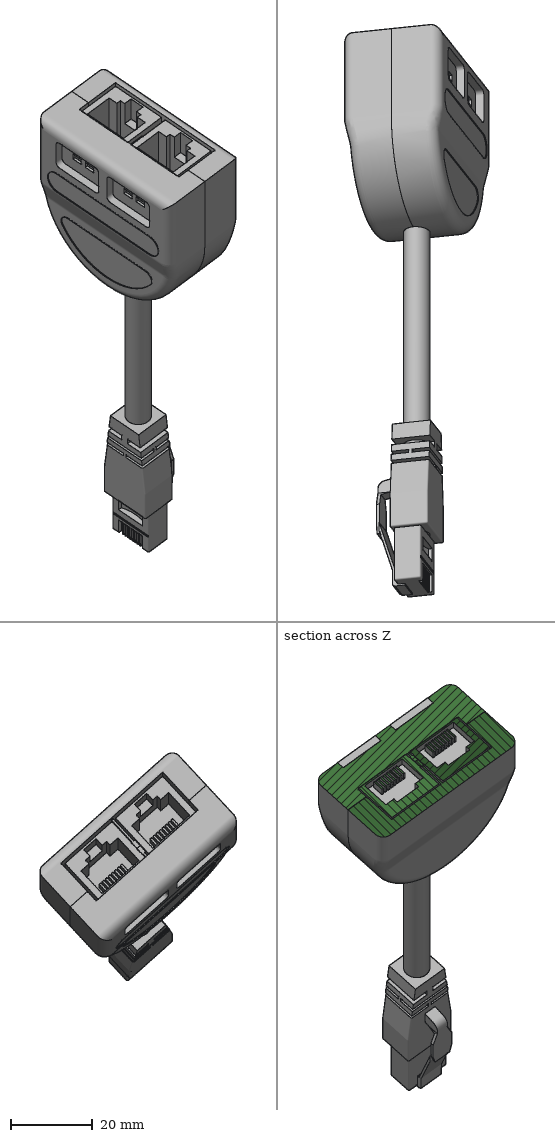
import cadquery as cq
import math

TOTAL_HEIGHT = 138.5

HOUSING_WIDTH = 45.0
HOUSING_DEPTH = 25.0
HOUSING_HEIGHT = 45.0
STEP_INSET = 1.2
FRONT_STEP_TOP = 117.0
FRONT_STEP_BOTTOM = 111.9
BACK_STEP_TOP = 116.2
BACK_STEP_BOTTOM = 110.4
STEP_BLEND = 3.2
HOUSING_FILLET = 2.6

JACK_WIDTH = 15.5
JACK_GAP = 1.2
JACK_LENGTH = 20.1
JACK_FRONT = -3.2
JACK_BACK = 8.9
JACK_RECESS = 0.3
WINDOW_CLEARANCE = 0.7
WINDOW_BACK_CLEARANCE = 0.7
DIVIDER_WIDTH = 0.5
DIVIDER_BLOCK_LENGTH = 3.9
DIVIDER_DROP = 1.4

JACK_HOLE_DEPTH = 13.8
JACK_FLOOR_WALL = 0.4
BODY_SLOT_WIDTH = 12.2
BODY_SLOT_TOP = 4.8
SHOULDER_WIDTH = 6.9
SHOULDER_TOP = 6.1
KEY_WIDTH = 4.0
KEY_TOP = 8.3
KEY_DEPTH = 6.9

CONTACT_COUNT = 8
JACK_CONTACT_PITCH = 1.0
JACK_CONTACT_WIDTH = 0.5
JACK_CONTACT_LENGTH = 3.0
JACK_CONTACT_HEIGHT = 4.2
JACK_CONTACT_GAP = 0.5

PANEL_WIDTH = 14.4
PANEL_HEIGHT = 8.6
PANEL_SPACING = 17.2
PANEL_CENTRE_Z = 130.7
PANEL_DEPTH = 2.1
PANEL_CORNER = 1.2
LAMP_WIDTH = 2.8
LAMP_HEIGHT = 1.7
LAMP_SPACING = 4.2
LAMP_DEPTH = 0.7
LABEL_WIDTH = 37.4
LABEL_HEIGHT = 6.2
LABEL_CENTRE_Z = 120.6
LABEL_DEPTH = 0.3
BADGE_RADIUS = 18.1
BADGE_TOP = 109.1
BADGE_CORNER = 2.2

CABLE_DIAMETER = 6.5
CABLE_ENTRY = 6.9

BOOT_TOP = 42.0
BOOT_SHOULDER = 22.7
BOOT_BOTTOM = 14.1
BOOT_TOP_WIDTH = 9.5
BOOT_WIDTH = 14.1
BOOT_DEPTH = 9.7
BOOT_BODY_TOP = 31.2
BOOT_FILLET = 0.4
WIDE_WEB = 2.0
NARROW_WEB = 0.8
GROOVES = [
    (36.3, 37.8, WIDE_WEB, True),
    (33.6, 34.5, NARROW_WEB, False),
    (BOOT_BODY_TOP, 32.0, NARROW_WEB, True),
]

HOOD_ARM_WIDTH = 3.3
HOOD_WIDTH = 6.1
HOOD_TIP_WIDTH = 4.7
HOOD_FLARE_TOP = 25.5
HOOD_FLARE_BOTTOM = 22.0
HOOD_TIP_TOP = 17.0
HOOD_OUTER = 9.4
HOOD_INNER = 8.6
HOOD_BOTTOM = 14.5
HOOD_ARM_TOP = 29.2
HOOD_ARM_UNDERSIDE = 25.9
HOOD_ARM_DROP = 1.0
HOOD_BEND = 2.1

PLUG_WIDTH = 12.3
PLUG_FRONT = -2.8
PLUG_BACK = 4.0
PLUG_BOTTOM = 0.4
PLUG_FILLET = 0.4
POCKET_WIDTH = 8.0
POCKET_BOTTOM = 8.5
POCKET_TOP = 11.8
POCKET_DEPTH = 1.0
POCKET_HOLLOW = 0.7
RECESS_WIDTH = 8.0
RECESS_TOP = 4.8
RECESS_DEPTH = 1.1
SCORE_Z = 5.8
SCORE_HEIGHT = 0.4
SCORE_DEPTH = 0.1
BLADE_PITCH = 0.8
BLADE_WIDTH = 0.4
BLADE_HEIGHT = 0.7

LEVER_WIDTH = 6.6
LEVER_THICKNESS = 0.7
LEVER_TOP = 17.0
LEVER_CONTACT_LENGTH = 2.2
LEVER_FOOT_BACK = 5.3
LEVER_FOOT_TOP = 4.3
LEVER_HEEL_FRONT = 2.1
LEVER_HEEL_BACK = 4.5

HALF_DEPTH = HOUSING_DEPTH / 2
HOUSING_RADIUS = HOUSING_WIDTH / 2
HOUSING_BOTTOM = TOTAL_HEIGHT - HOUSING_HEIGHT
ROUND_CENTRE_Z = HOUSING_BOTTOM + HOUSING_RADIUS
JACK_TOP = TOTAL_HEIGHT - JACK_RECESS
JACK_BOTTOM = JACK_TOP - JACK_LENGTH
JACK_OFFSET = (JACK_WIDTH + JACK_GAP) / 2
JACKS_WIDTH = 2 * JACK_WIDTH + JACK_GAP
CABLE_TOP = HOUSING_BOTTOM + CABLE_ENTRY


def block(x_range, y_range, z_range):
    """Axis-aligned block between the given limits."""
    (x0, x1), (y0, y1), (z0, z1) = x_range, y_range, z_range
    return cq.Workplane("XY").box(x1 - x0, y1 - y0, z1 - z0, centered=False).translate((x0, y0, z0))


def centred_block(width, y_range, z_range, x=0):
    """Block of the given width, centred on x."""
    return block((x - width / 2, x + width / 2), y_range, z_range)


def side_extrusion(points, width):
    """Closed (Y, Z) outline extruded to the given width, centred on X = 0."""
    return cq.Workplane("YZ").polyline(points).close().extrude(width / 2, both=True)


def spread(count, pitch):
    """Positions of equally spaced items, centred on zero."""
    return [(i - (count - 1) / 2) * pitch for i in range(count)]


def housing_blank():
    """Whole housing before it is split: stepped side profile, half-round lower end."""
    lower = HALF_DEPTH - STEP_INSET
    profile = side_extrusion(
        [
            (-HALF_DEPTH, TOTAL_HEIGHT),
            (-HALF_DEPTH, FRONT_STEP_TOP),
            (-lower, FRONT_STEP_BOTTOM),
            (-lower, HOUSING_BOTTOM),
            (lower, HOUSING_BOTTOM),
            (lower, BACK_STEP_BOTTOM),
            (HALF_DEPTH, BACK_STEP_TOP),
            (HALF_DEPTH, TOTAL_HEIGHT),
        ],
        HOUSING_WIDTH,
    )
    steps = [
        (-HALF_DEPTH, FRONT_STEP_TOP),
        (-lower, FRONT_STEP_BOTTOM),
        (HALF_DEPTH, BACK_STEP_TOP),
        (lower, BACK_STEP_BOTTOM),
    ]
    for y, z in steps:
        profile = profile.edges(cq.selectors.NearestToPointSelector((0, y, z))).fillet(STEP_BLEND)
    outline = (
        cq.Workplane("XZ")
        .moveTo(-HOUSING_RADIUS, TOTAL_HEIGHT)
        .lineTo(-HOUSING_RADIUS, ROUND_CENTRE_Z)
        .threePointArc((0, HOUSING_BOTTOM), (HOUSING_RADIUS, ROUND_CENTRE_Z))
        .lineTo(HOUSING_RADIUS, TOTAL_HEIGHT)
        .close()
        .extrude(HALF_DEPTH, both=True)
    )
    blank = profile.intersect(outline)
    rim = blank.faces("<Y or >Y").edges(">Z")
    rim = rim.add(blank.faces("<X").edges("<Y or >Y")).add(blank.faces(">X").edges("<Y or >Y"))
    return blank.newObject(rim.vals()).fillet(HOUSING_FILLET)


def jack_window():
    """Opening for both jacks, tapered at the sides and the back down to the jack size."""
    top_width = JACKS_WIDTH + 2 * WINDOW_CLEARANCE
    top_depth = JACK_BACK + WINDOW_BACK_CLEARANCE - JACK_FRONT
    bottom_depth = JACK_BACK - JACK_FRONT
    window = (
        cq.Workplane("XY", origin=(0, 0, JACK_BOTTOM))
        .center(0, JACK_FRONT + bottom_depth / 2)
        .rect(JACKS_WIDTH, bottom_depth)
        .workplane(offset=TOTAL_HEIGHT - JACK_BOTTOM)
        .center(0, (top_depth - bottom_depth) / 2)
        .rect(top_width, top_depth)
        .loft(ruled=True)
    )
    back = JACK_BACK + WINDOW_BACK_CLEARANCE
    heights = (JACK_BOTTOM, JACK_TOP - DIVIDER_DROP)
    half_block = DIVIDER_BLOCK_LENGTH / 2
    divider = centred_block(DIVIDER_WIDTH, (JACK_FRONT, back), heights)
    divider = divider.union(centred_block(JACK_GAP, (-half_block, half_block), heights))
    return window.cut(divider)


def indicator_panel(x):
    """Indicator window with two small lamp recesses in its floor."""
    floor = -HALF_DEPTH + PANEL_DEPTH
    z_range = (PANEL_CENTRE_Z - PANEL_HEIGHT / 2, PANEL_CENTRE_Z + PANEL_HEIGHT / 2)
    panel = centred_block(PANEL_WIDTH, (-HALF_DEPTH, floor), z_range, x)
    panel = panel.edges("|Y").fillet(PANEL_CORNER)
    lamp_z = (PANEL_CENTRE_Z - LAMP_HEIGHT / 2, PANEL_CENTRE_Z + LAMP_HEIGHT / 2)
    for dx in spread(2, LAMP_SPACING):
        panel = panel.union(centred_block(LAMP_WIDTH, (floor, floor + LAMP_DEPTH), lamp_z, x + dx))
    return panel


def label_recess():
    """Shallow slot with round ends on the upper front face."""
    return (
        cq.Workplane("XZ", origin=(0, -HALF_DEPTH, LABEL_CENTRE_Z))
        .slot2D(LABEL_WIDTH, LABEL_HEIGHT)
        .extrude(-LABEL_DEPTH)
    )


def badge_recess():
    """Shallow circle-segment recess on the lower front face."""
    rise = BADGE_TOP - ROUND_CENTRE_Z
    half_width = math.sqrt(BADGE_RADIUS**2 - rise**2)
    return (
        cq.Workplane("XZ", origin=(0, -HALF_DEPTH + STEP_INSET, ROUND_CENTRE_Z))
        .moveTo(-half_width, rise)
        .threePointArc((0, -BADGE_RADIUS), (half_width, rise))
        .close()
        .extrude(-LABEL_DEPTH)
        .edges("|Y")
        .fillet(BADGE_CORNER)
    )


def housing_shells(cable_body):
    """Front and back shells, split at Y = 0."""
    housing = housing_blank().cut(jack_window()).cut(cable_body)
    housing = housing.cut(label_recess()).cut(badge_recess())
    for x in spread(2, PANEL_SPACING):
        housing = housing.cut(indicator_panel(x))
    heights = (HOUSING_BOTTOM, TOTAL_HEIGHT)
    front = housing.intersect(centred_block(HOUSING_WIDTH, (-HALF_DEPTH, 0), heights))
    back = housing.intersect(centred_block(HOUSING_WIDTH, (0, HALF_DEPTH), heights))
    return front, back


def jack(x):
    """Jack with a stepped plug opening and a row of contacts standing on its floor."""
    floor = JACK_TOP - JACK_HOLE_DEPTH
    heights = (floor, JACK_TOP)
    hole_front = JACK_FRONT + JACK_FLOOR_WALL
    body = centred_block(JACK_WIDTH, (JACK_FRONT, JACK_BACK), (JACK_BOTTOM, JACK_TOP))
    body = body.cut(centred_block(BODY_SLOT_WIDTH, (hole_front, BODY_SLOT_TOP), heights))
    body = body.cut(centred_block(SHOULDER_WIDTH, (hole_front, SHOULDER_TOP), heights))
    body = body.cut(centred_block(KEY_WIDTH, (hole_front, KEY_TOP), (JACK_TOP - KEY_DEPTH, JACK_TOP)))
    contact_front = hole_front + JACK_CONTACT_GAP
    contact_y = (contact_front, contact_front + JACK_CONTACT_LENGTH)
    contact_z = (floor, floor + JACK_CONTACT_HEIGHT)
    for dx in spread(CONTACT_COUNT, JACK_CONTACT_PITCH):
        body = body.union(centred_block(JACK_CONTACT_WIDTH, contact_y, contact_z, dx))
    return body.translate((x, 0, 0))


def cable():
    """Round cable from inside the housing down to the plug."""
    return (
        cq.Workplane("XY", origin=(0, 0, BOOT_BOTTOM))
        .circle(CABLE_DIAMETER / 2)
        .extrude(CABLE_TOP - BOOT_BOTTOM)
    )


def boot_blank():
    """Boot outline: straight lower block tapering towards the cable, softened edges below."""
    half_top = BOOT_TOP_WIDTH / 2
    half_width = BOOT_WIDTH / 2
    outline = (
        cq.Workplane("XZ")
        .polyline(
            [
                (-half_top, BOOT_TOP),
                (-half_width, BOOT_SHOULDER),
                (-half_width, BOOT_BOTTOM),
                (half_width, BOOT_BOTTOM),
                (half_width, BOOT_SHOULDER),
                (half_top, BOOT_TOP),
            ]
        )
        .close()
        .extrude(BOOT_DEPTH / 2, both=True)
    )
    half_depth = BOOT_DEPTH / 2
    lower = centred_block(BOOT_WIDTH, (-half_depth, half_depth), (BOOT_BOTTOM, BOOT_BODY_TOP))
    upper = centred_block(BOOT_WIDTH, (-half_depth, half_depth), (BOOT_BODY_TOP, BOOT_TOP))
    return outline.intersect(lower).edges("not >Z").fillet(BOOT_FILLET), outline.intersect(upper)


def groove(bottom, top, web_thickness, webs_front_and_back):
    """Flexing groove around the cable, leaving two webs on opposite sides."""
    reach = BOOT_WIDTH / 2
    cutter = centred_block(BOOT_WIDTH, (-reach, reach), (bottom, top))
    if webs_front_and_back:
        web = centred_block(web_thickness, (-reach, reach), (bottom, top))
    else:
        web = centred_block(BOOT_WIDTH, (-web_thickness / 2, web_thickness / 2), (bottom, top))
    return cutter.cut(web)


def latch_hood():
    """Curved guard that reaches back from the boot and hangs down over the latch lever."""
    root = BOOT_DEPTH / 2 - BOOT_FILLET
    hood = side_extrusion(
        [
            (root, HOOD_ARM_TOP),
            (HOOD_OUTER, HOOD_ARM_TOP - HOOD_ARM_DROP),
            (HOOD_OUTER, HOOD_BOTTOM),
            (HOOD_INNER, HOOD_BOTTOM),
            (HOOD_INNER, HOOD_ARM_UNDERSIDE - HOOD_ARM_DROP),
            (root, HOOD_ARM_UNDERSIDE),
        ],
        HOOD_WIDTH,
    )
    hood = hood.edges("|X").edges(">Y").edges(">Z").fillet(HOOD_BEND)
    widths = [
        (HOOD_ARM_WIDTH / 2, HOOD_ARM_TOP),
        (HOOD_ARM_WIDTH / 2, HOOD_FLARE_TOP),
        (HOOD_WIDTH / 2, HOOD_FLARE_BOTTOM),
        (HOOD_WIDTH / 2, HOOD_TIP_TOP),
        (HOOD_TIP_WIDTH / 2, HOOD_BOTTOM),
    ]
    mirrored = [(-x, z) for x, z in reversed(widths)]
    face_outline = cq.Workplane("XZ").polyline(widths + mirrored).close().extrude(-HOOD_OUTER)
    return hood.intersect(face_outline)


def boot(cable_body):
    """Strain-relief boot with its grooves, latch hood and cable hole."""
    lower, upper = boot_blank()
    for groove_sizes in GROOVES:
        upper = upper.cut(groove(*groove_sizes))
    return lower.union(upper).union(latch_hood()).cut(cable_body)


def plug_pocket():
    """Rectangular pocket on the plug front with a hollow, cylindrical floor."""
    half = POCKET_WIDTH / 2
    floor = PLUG_FRONT + POCKET_DEPTH
    return (
        cq.Workplane("XY", origin=(0, 0, POCKET_BOTTOM))
        .moveTo(-half, PLUG_FRONT)
        .lineTo(-half, floor)
        .threePointArc((0, floor + POCKET_HOLLOW), (half, floor))
        .lineTo(half, PLUG_FRONT)
        .close()
        .extrude(POCKET_TOP - POCKET_BOTTOM)
    )


def latch_lever():
    """Springy lever rising from a foot at the plug bottom to the hood."""
    return side_extrusion(
        [
            (LEVER_HEEL_FRONT, 0),
            (LEVER_HEEL_BACK, 0),
            (LEVER_FOOT_BACK, PLUG_BOTTOM),
            (LEVER_FOOT_BACK, LEVER_FOOT_TOP),
            (HOOD_INNER, LEVER_TOP - LEVER_CONTACT_LENGTH),
            (HOOD_INNER, LEVER_TOP),
            (LEVER_FOOT_BACK - LEVER_THICKNESS, LEVER_FOOT_TOP),
            (LEVER_HEEL_FRONT, LEVER_FOOT_TOP),
        ],
        LEVER_WIDTH,
    )


def plug():
    """Modular plug with pocket, contact recess, contact blades and latch lever."""
    body = centred_block(PLUG_WIDTH, (PLUG_FRONT, PLUG_BACK), (PLUG_BOTTOM, BOOT_BOTTOM))
    body = body.edges("|Z or <Z").fillet(PLUG_FILLET)
    recess_floor = PLUG_FRONT + RECESS_DEPTH
    score_y = (PLUG_FRONT, PLUG_FRONT + SCORE_DEPTH)
    body = body.cut(plug_pocket())
    body = body.cut(centred_block(RECESS_WIDTH, (PLUG_FRONT, recess_floor), (PLUG_BOTTOM, RECESS_TOP)))
    body = body.cut(centred_block(PLUG_WIDTH, score_y, (SCORE_Z, SCORE_Z + SCORE_HEIGHT)))
    blade_y = (recess_floor - BLADE_HEIGHT, recess_floor)
    for x in spread(CONTACT_COUNT, BLADE_PITCH):
        body = body.union(centred_block(BLADE_WIDTH, blade_y, (PLUG_BOTTOM, RECESS_TOP), x))
    return body.union(latch_lever())


cable_solid = cable()
front_shell, back_shell = housing_shells(cable_solid)
jacks = [jack(x) for x in (-JACK_OFFSET, JACK_OFFSET)]
boot_solid = boot(cable_solid)
plug_solid = plug()

result = cq.Compound.makeCompound(
    [
        front_shell.val(),
        back_shell.val(),
        *[body.val() for body in jacks],
        cable_solid.val(),
        boot_solid.val(),
        plug_solid.val(),
    ]
)